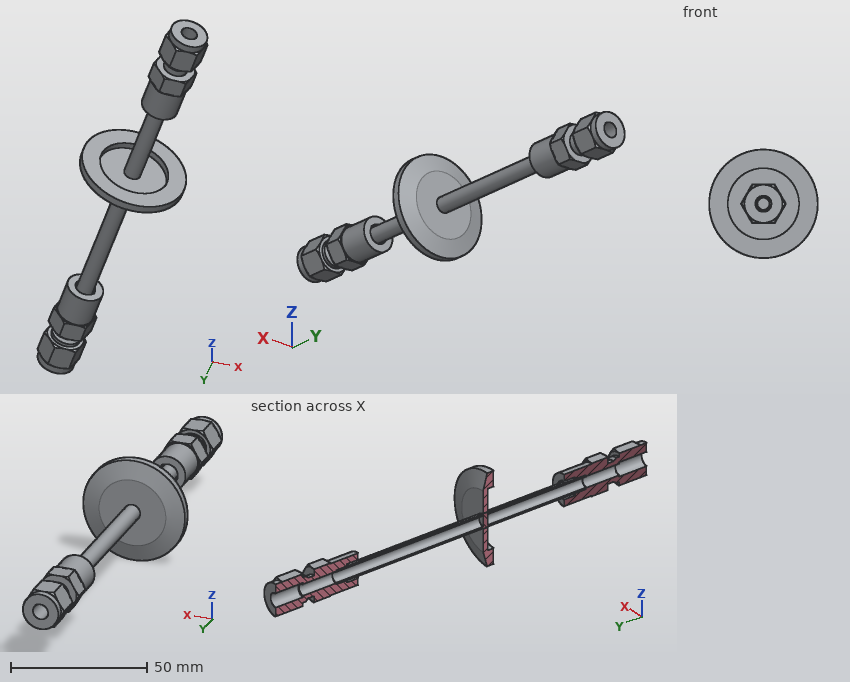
import cadquery as cq
import math

overall_length = 170.0

flange_diameter = 40.0
flange_face_y = -15.0
flange_thickness = 5.0
flange_rim_thickness = 3.0
flange_back_diameter = 26.2
flange_recess_diameter = 26.2
flange_recess_depth = 2.5

tube_diameter = 6.3
tube_bore_diameter = 4.5

nut_collar_length = 2.9
nut_end = 12.5
ring_end = 14.0
ring_taper_end = 15.1
body_hex_start = 17.7
body_hex_end = 25.2
fitting_length = 37.9

nut_collar_diameter = 14.0
nut_across_flats = 14.0
body_across_flats = 14.3
body_hex_face_diameter = 14.8
ring_diameter = 11.0
neck_diameter = 9.0
sleeve_diameter = 13.8
hex_sides = 6
hex_chamfer_angle = 30.0

entry_bore_diameter = 6.0
entry_bore_depth = nut_end
inner_bore_diameter = 4.8
sleeve_bore_diameter = 7.6
sleeve_bore_depth = 5.1
socket_depth = 5.1


def cylinder(diameter, start, end):
    """Cylinder on the Z axis between two heights."""
    return cq.Workplane("XY").workplane(offset=start).circle(diameter / 2).extrude(end - start)


def y_cylinder(diameter, start, end):
    """Cylinder on the Y axis between two Y positions."""
    return cq.Workplane("XZ", origin=(0, start, 0)).circle(diameter / 2).extrude(start - end)


def chamfered_hex(across_flats, face_diameter, start, end):
    """Hexagonal prism on the Z axis whose corners are coned off at both ends."""
    across_corners = across_flats / math.cos(math.pi / hex_sides)
    corner_radius = across_corners / 2
    face_radius = face_diameter / 2
    prism = cq.Workplane("XY").workplane(offset=start).polygon(hex_sides, across_corners).extrude(end - start)
    cone_height = (corner_radius - face_radius) * math.tan(math.radians(hex_chamfer_angle))
    envelope = (
        cq.Workplane("XZ")
        .moveTo(0, start)
        .lineTo(face_radius, start)
        .lineTo(corner_radius, start + cone_height)
        .lineTo(corner_radius, end - cone_height)
        .lineTo(face_radius, end)
        .lineTo(0, end)
        .close()
        .revolve(360, (0, 0, 0), (0, 1, 0))
    )
    return prism.intersect(envelope)


def make_fitting():
    """Tube fitting with its outer end at Z = 0, running inward along +Z."""
    nut_hex = chamfered_hex(nut_across_flats, nut_collar_diameter, nut_collar_length, nut_end)
    body_hex = chamfered_hex(body_across_flats, body_hex_face_diameter, body_hex_start, body_hex_end)
    ring_taper = (
        cq.Workplane("XY")
        .workplane(offset=ring_end)
        .circle(ring_diameter / 2)
        .workplane(offset=ring_taper_end - ring_end)
        .circle(neck_diameter / 2)
        .loft()
    )
    fitting = (
        cylinder(nut_collar_diameter, 0, nut_collar_length)
        .union(nut_hex)
        .union(cylinder(ring_diameter, nut_end, ring_end))
        .union(ring_taper)
        .union(cylinder(neck_diameter, ring_taper_end, body_hex_start))
        .union(body_hex)
        .union(cylinder(sleeve_diameter, body_hex_end, fitting_length))
    )
    sleeve_bore_floor = fitting_length - sleeve_bore_depth
    return (
        fitting.cut(cylinder(entry_bore_diameter, 0, entry_bore_depth))
        .cut(cylinder(inner_bore_diameter, 0, sleeve_bore_floor))
        .cut(cylinder(tube_diameter, sleeve_bore_floor - socket_depth, sleeve_bore_floor))
        .cut(cylinder(sleeve_bore_diameter, sleeve_bore_floor, fitting_length))
    )


def make_flange():
    """Flange disc with a tapered back, a recessed face and a hole for the tube."""
    flange_back_y = flange_face_y + flange_thickness
    disc = (
        cq.Workplane("XY")
        .moveTo(0, flange_face_y)
        .lineTo(flange_diameter / 2, flange_face_y)
        .lineTo(flange_diameter / 2, flange_face_y + flange_rim_thickness)
        .lineTo(flange_back_diameter / 2, flange_back_y)
        .lineTo(0, flange_back_y)
        .close()
        .revolve(360, (0, 0, 0), (0, 1, 0))
    )
    recess = y_cylinder(flange_recess_diameter, flange_face_y, flange_face_y + flange_recess_depth)
    return disc.cut(recess).cut(y_cylinder(tube_diameter, flange_face_y, flange_back_y))


def make_tube():
    """Tube through the flange; the web between its two bores lies between the recess floor and the back."""
    tube_end_y = overall_length / 2 - fitting_length + sleeve_bore_depth + socket_depth
    web_front_y = flange_face_y + flange_recess_depth
    web_back_y = flange_face_y + flange_thickness
    rod = y_cylinder(tube_diameter, -tube_end_y, tube_end_y)
    front_bore = y_cylinder(tube_bore_diameter, -tube_end_y, web_front_y)
    back_bore = y_cylinder(tube_bore_diameter, web_back_y, tube_end_y)
    return rod.cut(front_bore).cut(back_bore)


def place_fitting(direction):
    """Fitting at the -Y end (direction -1) or the +Y end (direction +1)."""
    turned = make_fitting().rotate((0, 0, 0), (1, 0, 0), 90 * direction)
    return turned.translate((0, direction * overall_length / 2, 0))


flange = make_flange()
tube = make_tube()
fittings = [place_fitting(direction) for direction in (-1, 1)]

result = cq.Compound.makeCompound([flange.val(), tube.val(), *[fitting.val() for fitting in fittings]])